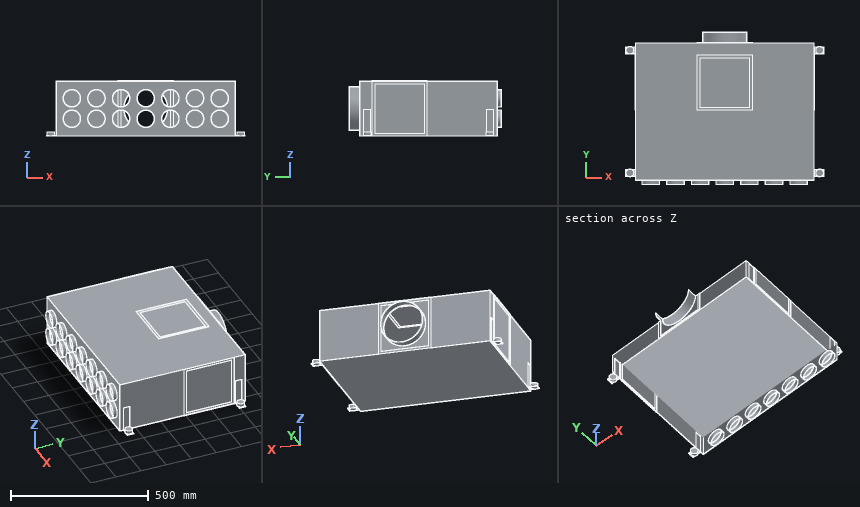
import cadquery as cq

box_x = 650.0
box_y = 500.0
box_z = 200.0
sheet = 1.0

cover_side = 200.0
cover_thickness = 1.5
opening_side = 180.0
cover_center_y = 105.5

outlet_columns = 7
outlet_rows = 2
outlet_pitch_x = 90.0
outlet_pitch_z = 74.5
outlet_diameter = 64.0
outlet_length = 15.0

inlet_diameter = 160.5
inlet_length = 39.0

collar_wall = 1.5

overall_x = 723.0
upright_thickness = 1.0
base_thickness = 2.0
foot_width = 25.0
foot_height = 97.0
foot_pitch_y = 446.0
bumper_diameter = 28.0
bumper_height = 15.0
bumper_inset = 2.0

side_x = box_x / 2
front_y = -box_y / 2
back_y = box_y / 2
middle_z = box_z / 2


def block(size_x, size_y, size_z, center):
    return cq.Workplane("XY").box(size_x, size_y, size_z).translate(center)


def cylinder_y(diameter, x, z, start_y, end_y):
    start = cq.Workplane("XZ", origin=(x, start_y, z))
    return start.circle(diameter / 2).extrude(start_y - end_y)


def make_box():
    center = (0, 0, middle_z)
    outer = block(box_x, box_y, box_z, center)
    inner = block(box_x - 2 * sheet, box_y - 2 * sheet, box_z - 2 * sheet, center)
    return outer.cut(inner)


def square_plate(side, thickness, normal, center):
    sizes = [thickness if along else side for along in normal]
    return block(*sizes, center)


def add_cover(body, normal, face_center):
    """Cut a square opening in a wall and close it with a larger plate on the outside."""
    opening = square_plate(opening_side, 2 * sheet, normal, face_center)
    outward = cq.Vector(normal) * (cover_thickness / 2)
    plate_center = (cq.Vector(face_center) + outward).toTuple()
    plate = square_plate(cover_side, cover_thickness, normal, plate_center)
    return body.cut(opening).union(plate)


def add_collar(body, diameter, x, z, wall_inside_y, wall_y, end_y):
    """Add a thin tube from the wall to end_y and bore it through the wall."""
    tube = cylinder_y(diameter, x, z, wall_y, end_y)
    bore = cylinder_y(diameter - 2 * collar_wall, x, z, wall_inside_y, end_y)
    return body.union(tube).cut(bore)


def make_foot(side, y):
    """Build one angle bracket and its bumper; side is -1 or 1 along X."""
    upright_x = side * (side_x + upright_thickness / 2)
    upright = block(upright_thickness, foot_width, foot_height, (upright_x, y, foot_height / 2))
    reach = overall_x / 2 - side_x
    base_x = side * (side_x + reach / 2)
    base = block(reach, foot_width, base_thickness, (base_x, y, base_thickness / 2))
    bumper_x = side * (overall_x / 2 - bumper_inset - bumper_diameter / 2)
    bumper = cq.Workplane("XY").center(bumper_x, y).circle(bumper_diameter / 2).extrude(bumper_height)
    return upright.union(base).union(bumper)


result = make_box()

result = add_cover(result, (0, 0, 1), (0, cover_center_y, box_z))
result = add_cover(result, (1, 0, 0), (side_x, cover_center_y, middle_z))
result = add_cover(result, (-1, 0, 0), (-side_x, cover_center_y, middle_z))
result = add_cover(result, (0, 1, 0), (0, back_y, middle_z))

result = add_collar(result, inlet_diameter, 0, middle_z, back_y - sheet, back_y, back_y + inlet_length)

for column in range(outlet_columns):
    outlet_x = (column - (outlet_columns - 1) / 2) * outlet_pitch_x
    for row in range(outlet_rows):
        outlet_z = middle_z + (row - (outlet_rows - 1) / 2) * outlet_pitch_z
        result = add_collar(
            result, outlet_diameter, outlet_x, outlet_z, front_y + sheet, front_y, front_y - outlet_length
        )

for foot_side in (-1, 1):
    for foot_y in (-foot_pitch_y / 2, foot_pitch_y / 2):
        result = result.union(make_foot(foot_side, foot_y))